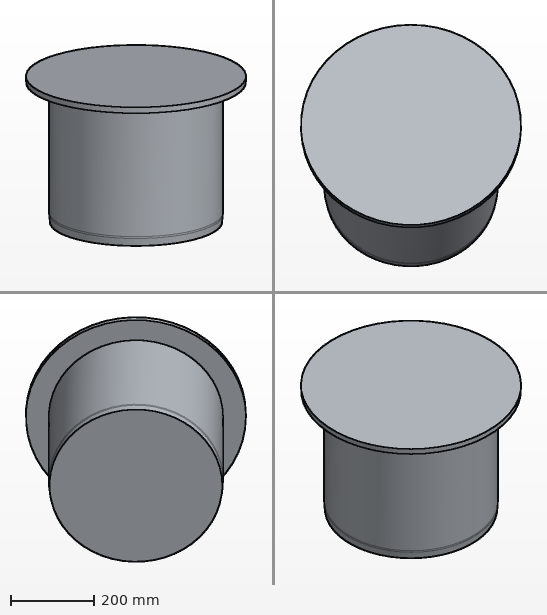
import cadquery as cq
import math

total_height = 365.0
flange_diameter = 530.0
flange_thickness = 15.0
drum_diameter = 420.0

lead_in_height = 20.0
lead_in_angle = math.radians(5)
blend_radius = 53.0

flange_bottom = total_height - flange_thickness


def make_flange():
    """Wide round plate that closes the drum at the top."""
    return (
        cq.Workplane("XY")
        .workplane(offset=flange_bottom)
        .circle(flange_diameter / 2)
        .extrude(flange_thickness)
    )


def make_drum():
    """Round drum under the flange, revolved from its half section."""
    wall_radius = drum_diameter / 2
    blend_top = lead_in_height + blend_radius * math.sin(lead_in_angle)

    def blend_point(angle):
        """Point on the blend arc where the wall leans inward by the given angle."""
        radius = wall_radius - blend_radius * (1 - math.cos(angle))
        height = blend_top - blend_radius * math.sin(angle)
        return radius, height

    cone_top = blend_point(lead_in_angle)
    bottom_radius = cone_top[0] - lead_in_height * math.tan(lead_in_angle)

    return (
        cq.Workplane("XZ")
        .lineTo(bottom_radius, 0)
        .lineTo(*cone_top)
        .threePointArc(blend_point(lead_in_angle / 2), (wall_radius, blend_top))
        .lineTo(wall_radius, flange_bottom)
        .lineTo(0, flange_bottom)
        .close()
        .revolve(360, (0, 0, 0), (0, 1, 0))
    )


flange = make_flange()
drum = make_drum()

result = cq.Compound.makeCompound([flange.val(), drum.val()])